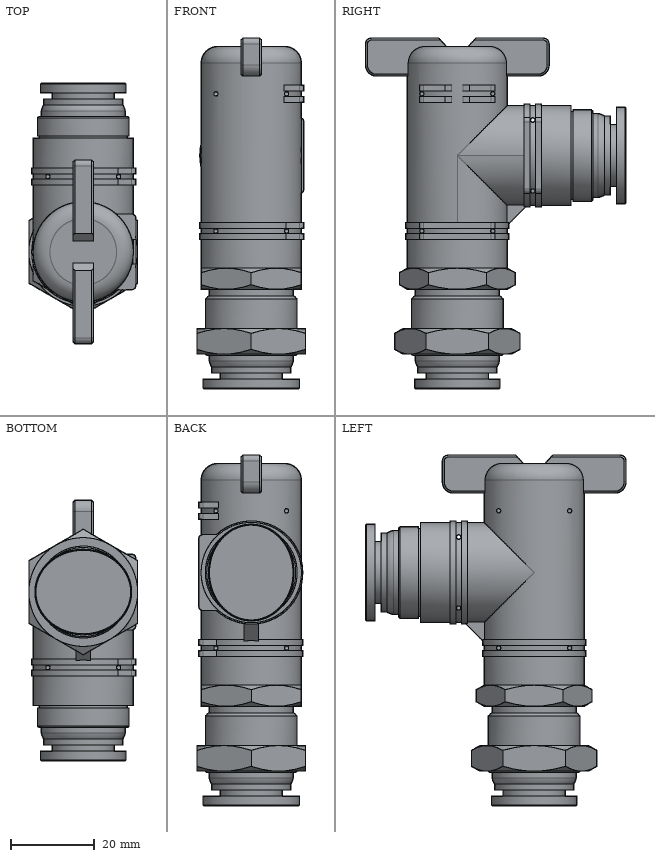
import cadquery as cq
import math


TOTAL_HEIGHT = 83.9
BODY_RADIUS = 12.0
BODY_TOP = 81.9
DOME_FILLET = 4.0
BRANCH_AXIS_Z = 55.8
BRANCH_LENGTH = 40.35
BRANCH_SLEEVE_END = 27.2
BRANCH_GAP = 0.5
BRANCH_GAP_RADIUS = 10.6
GUSSET_WIDTH = 3.35
GUSSET_SIZE = 4.6

FLANGE_LONG_RADIUS = 11.6
FLANGE_SHORT_RADIUS = 10.2
FLANGE_THICKNESS = 2.35
FLANGE_CHAMFER = 0.25
NECK_RADIUS = 7.5
NECK_END = 3.8
COLLAR_RADIUS = 9.5
COLLAR_END = 5.2
TAPER_END = 6.7
TAPER_BULGE = 0.1
SHOULDER_RADIUS = 10.1
SHOULDER_END = 8.0
HOUSING_RADIUS = 11.0
HOUSING_CHAMFER = 0.3

THREAD_TOP = 22.2
THREAD_CHAMFER = 0.75
LOCK_NUT_FLATS = 26.0
LOCK_NUT_BOTTOM = 8.3
LOCK_NUT_HEIGHT = 6.1
BODY_NUT_FLATS = 24.0
BODY_NUT_BOTTOM = 23.8
BODY_NUT_HEIGHT = 5.0
NUT_CHAMFER_ANGLE = 30.0

CLIP_OFFSET = 18.0
UPPER_CLIP_OFFSET = 14.8
CLIP_GAP = 1.3
CLIP_PLATE = 1.4
CLIP_REACH = 12.6
CLIP_HALF_WIDTH = 9.1
CLIP_CORNER_RADIUS = 1.0
RING_RADIUS = 12.3
CLIP_NOTCH_WIDTH = 5.9
CLIP_NOTCH_FLOOR = 11.9
PIN_HOLE_DIAMETER = 1.0
PIN_HOLE_OFFSET = BODY_RADIUS * math.sqrt(0.5)
PIN_HOLE_DEPTH = 1.7

HANDLE_LENGTH = 44.0
HANDLE_WIDTH = 4.95
HANDLE_HEIGHT = 9.15
HANDLE_TOP_FILLET = 1.4
HANDLE_BOTTOM_FILLET = 2.7
HANDLE_CHAMFER = 0.5
HANDLE_GAP_TOP = 8.9
HANDLE_GAP_BOTTOM = 5.2


def disc(radius, bottom, top):
    return cq.Workplane("XY").workplane(offset=bottom).circle(radius).extrude(top - bottom)


def to_branch(shape):
    """Move a shape from the Z axis to the branch, Z = 0 landing on the body axis."""
    return shape.rotate((0, 0, 0), (1, 0, 0), -90).translate((0, 0, BRANCH_AXIS_Z))


def cartridge():
    """Oval release flange, neck, collar and rounded shoulder; outer end at Z = 0."""
    flange = (
        cq.Workplane("XY")
        .ellipse(FLANGE_LONG_RADIUS, FLANGE_SHORT_RADIUS)
        .extrude(FLANGE_THICKNESS)
        .faces("<Z")
        .chamfer(FLANGE_CHAMFER)
    )
    taper_middle = (
        (COLLAR_RADIUS + SHOULDER_RADIUS) / 2 + TAPER_BULGE,
        (COLLAR_END + TAPER_END) / 2,
    )
    stem = (
        cq.Workplane("XZ")
        .lineTo(NECK_RADIUS, 0)
        .lineTo(NECK_RADIUS, NECK_END)
        .lineTo(COLLAR_RADIUS, NECK_END)
        .lineTo(COLLAR_RADIUS, COLLAR_END)
        .threePointArc(taper_middle, (SHOULDER_RADIUS, TAPER_END))
        .lineTo(SHOULDER_RADIUS, SHOULDER_END)
        .lineTo(0, SHOULDER_END)
        .close()
        .revolve(360, (0, 0, 0), (0, 1, 0))
    )
    return flange.union(stem)


def hex_nut(flats, bottom, height):
    """Hexagon with flats facing X and its corners turned off at both ends."""
    corner_radius = flats / math.sqrt(3)
    flat_radius = flats / 2
    bevel = (corner_radius - flat_radius) * math.tan(math.radians(NUT_CHAMFER_ANGLE))
    hexagon = (
        cq.Workplane("XY")
        .polygon(6, 2 * corner_radius)
        .extrude(height)
        .rotate((0, 0, 0), (0, 0, 1), 30)
    )
    envelope = (
        cq.Workplane("XZ")
        .lineTo(flat_radius, 0)
        .lineTo(corner_radius, bevel)
        .lineTo(corner_radius, height - bevel)
        .lineTo(flat_radius, height)
        .lineTo(0, height)
        .close()
        .revolve(360, (0, 0, 0), (0, 1, 0))
    )
    return hexagon.intersect(envelope).translate((0, 0, bottom))


def clip_plates(center, with_ring):
    """Two plates across the Z axis that stick out on the +X side."""
    plates = cq.Workplane("XY")
    for bottom in (center - CLIP_GAP / 2 - CLIP_PLATE, center + CLIP_GAP / 2):
        plate = (
            cq.Workplane("XY")
            .box(CLIP_REACH, 2 * CLIP_HALF_WIDTH, CLIP_PLATE, centered=(False, True, False))
            .edges("|Z and >X")
            .fillet(CLIP_CORNER_RADIUS)
            .translate((0, 0, bottom))
        )
        plates = plates.union(plate)
        if with_ring:
            plates = plates.union(disc(RING_RADIUS, bottom, bottom + CLIP_PLATE))
    return plates


def notched_clip(center):
    """Clip without rings, with a shallow notch in the middle of its outer edge."""
    notch_height = CLIP_GAP + 2 * CLIP_PLATE
    notch = cq.Workplane("XY").box(
        CLIP_REACH, CLIP_NOTCH_WIDTH, notch_height, centered=(False, True, True)
    )
    return clip_plates(center, False).cut(notch.translate((CLIP_NOTCH_FLOOR, 0, center)))


def pin_holes(center, depth):
    """Four holes along X, sunk from where they enter a body centred on the Z axis."""
    bottom = PIN_HOLE_OFFSET - depth
    length = BODY_RADIUS - bottom
    holes = (
        cq.Workplane("YZ")
        .workplane(offset=bottom)
        .pushPoints([(-PIN_HOLE_OFFSET, center), (PIN_HOLE_OFFSET, center)])
        .circle(PIN_HOLE_DIAMETER / 2)
        .extrude(length)
    )
    return holes.union(holes.mirror("YZ"))


def lower_end():
    """Cartridge, thread, both nuts and the undercut between thread and body."""
    thread = (
        disc(HOUSING_RADIUS, SHOULDER_END, THREAD_TOP)
        .faces("<Z")
        .chamfer(HOUSING_CHAMFER)
        .faces(">Z")
        .chamfer(THREAD_CHAMFER)
    )
    undercut = disc(SHOULDER_RADIUS, THREAD_TOP, BODY_NUT_BOTTOM)
    lock_nut = hex_nut(LOCK_NUT_FLATS, LOCK_NUT_BOTTOM, LOCK_NUT_HEIGHT)
    body_nut = hex_nut(BODY_NUT_FLATS, BODY_NUT_BOTTOM, BODY_NUT_HEIGHT)
    return cartridge().union(thread).union(undercut).union(lock_nut).union(body_nut)


def body():
    body_bottom = BODY_NUT_BOTTOM + BODY_NUT_HEIGHT
    return disc(BODY_RADIUS, body_bottom, BODY_TOP).faces(">Z").edges().fillet(DOME_FILLET)


def branch():
    """Sleeve, narrow gap, housing and cartridge of the side outlet."""
    sleeve = disc(BODY_RADIUS, 0, BRANCH_SLEEVE_END)
    gap_end = BRANCH_SLEEVE_END + BRANCH_GAP
    gap = disc(BRANCH_GAP_RADIUS, BRANCH_SLEEVE_END, gap_end)
    housing = (
        disc(HOUSING_RADIUS, gap_end, BRANCH_LENGTH - SHOULDER_END)
        .faces(">Z")
        .chamfer(HOUSING_CHAMFER)
    )
    outlet = (
        cartridge()
        .rotate((0, 0, 0), (0, 0, 1), 90)
        .rotate((0, 0, 0), (1, 0, 0), 180)
        .translate((0, 0, BRANCH_LENGTH))
    )
    return to_branch(sleeve.union(gap).union(housing).union(outlet))


def gusset():
    """Triangular web under the branch, in the inner corner; its legs start at the two axes."""
    leg = 2 * BODY_RADIUS + GUSSET_SIZE
    return (
        cq.Workplane("YZ")
        .polyline([(0, BRANCH_AXIS_Z), (leg, BRANCH_AXIS_Z), (0, BRANCH_AXIS_Z - leg)])
        .close()
        .extrude(GUSSET_WIDTH / 2, both=True)
    )


def handle():
    bottom = TOTAL_HEIGHT - HANDLE_HEIGHT
    return (
        cq.Workplane("XY")
        .box(HANDLE_WIDTH, HANDLE_LENGTH, HANDLE_HEIGHT, centered=(True, True, False))
        .edges("|X and >Z")
        .fillet(HANDLE_TOP_FILLET)
        .edges("|X and <Z")
        .fillet(HANDLE_BOTTOM_FILLET)
        .faces("<X or >X")
        .chamfer(HANDLE_CHAMFER)
        .translate((0, 0, bottom))
    )


def handle_gap():
    """Flared opening that bares the top of the dome between the two handle wings."""
    return (
        cq.Workplane("YZ")
        .polyline([(-HANDLE_GAP_BOTTOM / 2, BODY_TOP), (HANDLE_GAP_BOTTOM / 2, BODY_TOP),
                   (HANDLE_GAP_TOP / 2, TOTAL_HEIGHT), (-HANDLE_GAP_TOP / 2, TOTAL_HEIGHT)])
        .close()
        .extrude(HANDLE_WIDTH, both=True)
    )


lower_clip_z = BRANCH_AXIS_Z - CLIP_OFFSET
upper_clip_z = BRANCH_AXIS_Z + UPPER_CLIP_OFFSET

result = body().union(branch()).union(lower_end())
result = result.union(clip_plates(lower_clip_z, True))
result = result.union(to_branch(clip_plates(CLIP_OFFSET, True)))
result = result.union(notched_clip(upper_clip_z))
result = result.union(handle()).cut(handle_gap())
result = result.cut(pin_holes(lower_clip_z, PIN_HOLE_DEPTH))
result = result.cut(pin_holes(upper_clip_z, PIN_HOLE_DEPTH))
result = result.cut(to_branch(pin_holes(CLIP_OFFSET, PIN_HOLE_OFFSET)))
result = result.union(gusset(), clean=False)